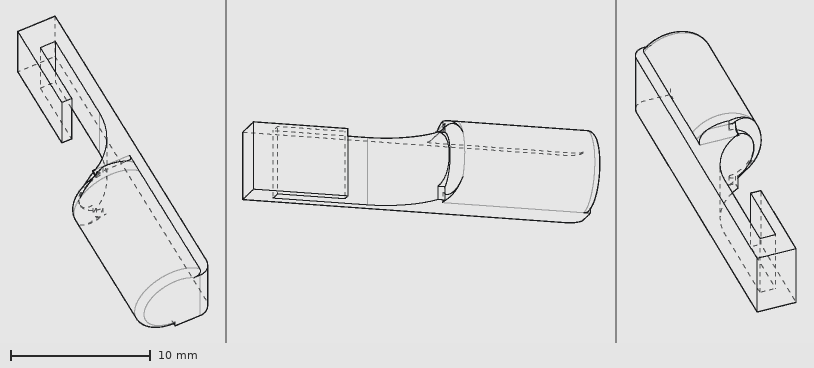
import cadquery as cq
import math

length = 25.0
barrel_diameter = 6.0
barrel_radius = barrel_diameter / 2
barrel_start = 14.0
end_round = 0.5
shoulder_round = 0.85
shoulder_blend_start = 3.25
shoulder_blend_end = 5.5

bar_height = 5.0
bar_thickness = 1.0
bar_end_round = 1.0
clip_length = 7.0
clip_depth = 3.0
clip_wall = 2.0
slot_width = 1.2

sweep_radius = 5.0
sweep_start = barrel_start - sweep_radius
neck_depth = 3.75
corner_radius = 0.68


def block(x_start, x_end, depth, height, front_gap=0.0):
    """Box resting on Z = 0, reaching from front_gap to depth towards -Y."""
    return cq.Workplane("XY").box(
        x_end - x_start, depth - front_gap, height, centered=False
    ).translate((x_start, -depth, 0))


def barrel_cylinder(radius, x_start, x_end):
    """Cylinder on the barrel axis."""
    return (
        cq.Workplane("YZ", origin=(x_start, 0, 0))
        .center(-barrel_radius, barrel_radius)
        .circle(radius)
        .extrude(x_end - x_start)
    )


def make_bar():
    """Full-length bar with its folded clip."""
    bar = block(0, length, bar_thickness, bar_height)
    clip = block(0, clip_length, clip_depth, bar_height)
    slot = block(clip_wall, clip_length, bar_thickness + slot_width, bar_height, bar_thickness)
    return bar.union(clip.cut(slot))


def make_barrel():
    """Barrel with a rounded far end and a shoulder whose rounding fades out towards the back."""
    barrel = barrel_cylinder(barrel_radius, barrel_start, length)
    barrel = barrel.faces(">X").edges().fillet(end_round)
    rounded = barrel.faces("<X").edges().fillet(shoulder_round)
    blend_x = barrel_start + shoulder_round
    square_region = (
        cq.Workplane("XY")
        .polyline([
            (barrel_start, 0),
            (barrel_start, -shoulder_blend_start),
            (blend_x, -shoulder_blend_end),
            (blend_x, 0),
        ])
        .close()
        .extrude(barrel_diameter)
    )
    return rounded.union(barrel.intersect(square_region))


def make_back_fill():
    """Flat-topped filling between the back of the bar and the barrel."""
    return block(barrel_start, length, barrel_radius, bar_height)


def make_neck():
    """Concave sweep, narrowed to a round section beyond the bar depth."""
    diagonal = sweep_radius * math.sqrt(0.5)
    sweep_center_y = -bar_thickness - sweep_radius
    plan = (
        cq.Workplane("XY")
        .moveTo(sweep_start, 0)
        .lineTo(sweep_start, -bar_thickness)
        .threePointArc(
            (sweep_start + diagonal, sweep_center_y + diagonal),
            (barrel_start, sweep_center_y),
        )
        .lineTo(barrel_start + shoulder_round, sweep_center_y)
        .lineTo(barrel_start + shoulder_round, 0)
        .close()
        .extrude(bar_height)
    )
    straight = block(sweep_start, barrel_start, neck_depth, bar_height)
    round_section = barrel_cylinder(
        barrel_radius - shoulder_round, sweep_start, barrel_start + shoulder_round
    )
    return plan.intersect(straight.union(round_section))


def make_corner():
    """Concave round between the top of the bar and the barrel shoulder."""
    offset = corner_radius * (1 - math.sqrt(0.5))
    corner_start = barrel_start - corner_radius
    corner = (
        cq.Workplane("XZ")
        .moveTo(corner_start, bar_height)
        .threePointArc(
            (barrel_start - offset, bar_height + offset),
            (barrel_start, bar_height + corner_radius),
        )
        .lineTo(barrel_start, bar_height)
        .close()
        .extrude(neck_depth)
    )
    return corner.intersect(barrel_cylinder(barrel_radius, corner_start, barrel_start))


def make_envelope():
    """Outer block whose rounded corner trims the far back end of bar and barrel."""
    envelope = block(0, length, barrel_diameter, barrel_diameter)
    return envelope.edges("|Z and >X and >Y").fillet(bar_end_round)


result = (
    make_bar()
    .union(make_back_fill())
    .union(make_barrel())
    .union(make_neck())
    .union(make_corner())
    .intersect(make_envelope())
)